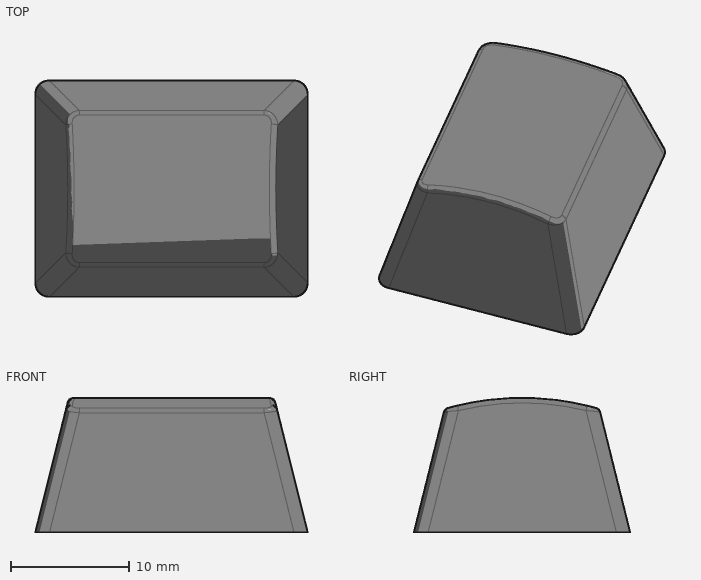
import cadquery as cq

length = 23.05
width = 18.3
height = 11.4

draft_angle = 14.0
crown_radius = 23.05
corner_radius = 1.22
rim_radius = 0.55


def tapered_block():
    """Block whose four sides lean inward by the draft angle."""
    return cq.Workplane("XY").rect(length, width).extrude(height, taper=draft_angle)


def crown_cylinder():
    """Cylinder along X whose highest line is the ridge of the crowned top."""
    return (
        cq.Workplane("YZ")
        .center(0, height - crown_radius)
        .circle(crown_radius)
        .extrude(length / 2, both=True)
    )


def round_slanted_corners(block):
    """Fillet the four leaning edges: the straight edges that are not level."""
    return block.edges("%LINE").edges("not #Z").fillet(corner_radius)


def round_rim(block):
    """Fillet the edge all around the crowned top face."""
    return block.faces(">Z").edges().fillet(rim_radius)


crowned_block = tapered_block().intersect(crown_cylinder())
result = round_rim(round_slanted_corners(crowned_block))